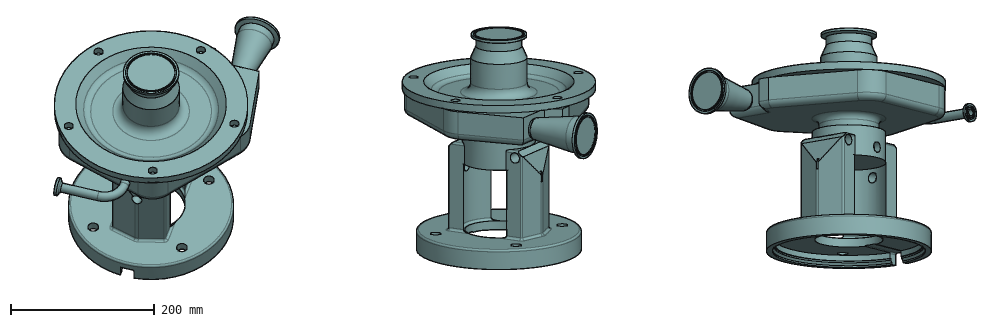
import cadquery as cq
import math


PICK_MARGIN = 0.5

BASE_TOP = 28.5
HUB_BOTTOM = 126.5
HUB_TOP = 169.5
CASING_BOTTOM = 189.0
CASING_TOP = 230.8
COVER_TOP = 241.5
INLET_TOP = 310.0

BASE_RADIUS = 115.2
BASE_EDGE_FILLET = 3.0
BASE_BORE_RADIUS = 47.5
BASE_BOLT_CIRCLE_RADIUS = 91.5
BASE_BOLT_RADIUS = 7.3
BASE_BOLT_COUNT = 4
RECESS_CEILING = 16.0
RECESS_STEP = 8.0
RECESS_CONE_TOP = 6.0
RECESS_CONE_BOTTOM = 2.2
RECESS_UPPER_RADIUS = 102.5
RECESS_LOWER_RADIUS = 104.2
RECESS_MOUTH_RADIUS = 106.8
NOTCH_WIDTH = 19.7
NOTCH_HEIGHT = 17.2
NOTCH_FILLET = 2.2

LEG_HALF_WIDTH = 38.8
LEG_BORE_RADIUS = 52.0
LEG_SHOULDER_Y = 59.0
LEG_RIDGE_Y = 70.0
LEG_TOP = 155.8
LEG_SIDE_FILLET = 2.5
LEG_RIDGE_FILLET = 8.8
LEG_FOOT_FILLET = 3.5
LEG_TOP_CHAMFER = 7.3
LEG_TOP_SIDE_FILLET = 3.0
SLOPE_BOTTOM = 114.0
SLOPE_TOP_Y = 59.5
LEG_HOLE_RADIUS = 7.3
LEG_HOLE_Z = 113.5
LEG_SLIT_WIDTH = 2.2
CROSS_HOLE_Y = 48.0
CROSS_HOLE_Z = 146.0

HUB_RADIUS = 51.2
NECK_RADIUS = 42.0
NECK_FLARE = 9.5
HUB_HOLE_RADIUS = 7.3
HUB_HOLE_Z = 141.5
HUB_HOLE_DEPTH = 11.0

CASING_APOTHEM = 115.2
CASING_SIDES = 5
CASING_CORNER_FILLET = 35.5
CASING_BOTTOM_FILLET = 9.5
OUTLET_FACE_Y = 110.5
OUTLET_FACE_LEFT_X = 64.7
OUTLET_FACE_RIGHT_X = 124.0
LUG_Y = 132.7
LUG_RIGHT_X = 53.5

COVER_RADIUS = 135.0
COVER_BOLT_CIRCLE_RADIUS = 121.5
COVER_BOLT_RADIUS = 6.2
COVER_BOLT_COUNT = 5
POCKET_RADIUS = 105.0
POCKET_CONE_WIDTH = 11.0
POCKET_FILLET = 14.0
POCKET_DEPTH = POCKET_CONE_WIDTH + POCKET_FILLET * (1 - math.cos(math.pi / 4))

RIM_THICKNESS = 3.5
RIM_TAPER = 2.2
GROOVE_INSET = 4.5
GROOVE_WIDTH = 2.2
GROOVE_DEPTH = 1.5

INLET_RIM_RADIUS = 38.8
INLET_TUBE_RADIUS = 32.0
INLET_BODY_RADIUS = 39.5
INLET_CONE_TOP = 292.5
INLET_CONE_BOTTOM = 276.0

OUTLET_X = 96.0
OUTLET_Z = 209.5
OUTLET_END_Y = 195.0
OUTLET_RIM_RADIUS = 32.0
OUTLET_TUBE_RADIUS = 25.5
OUTLET_CONE_START_Y = 177.5
OUTLET_CONE_END_Y = 114.0
OUTLET_SMALL_RADIUS = 15.5
OUTLET_NECK_RADIUS = 13.5

DRAIN_Z = 211.7
DRAIN_RADIUS = 6.5
DRAIN_BEND_RADIUS = 28.5
DRAIN_STRAIGHT_Y = -158.0
DRAIN_START_Y = -109.7
DRAIN_END_X = -90.0
DRAIN_RIM_RADIUS = 12.8
DRAIN_HUB_RADIUS = 8.8
DRAIN_BORE_RADIUS = 4.8


def cylinder(radius, bottom, top):
    return cq.Workplane("XY", origin=(0, 0, bottom)).circle(radius).extrude(top - bottom)


def revolved(profile):
    """Solid of revolution about Z from (radius, height) points."""
    return cq.Workplane("XZ").polyline(profile).close().revolve(360, (0, 0, 0), (0, 1, 0))


def ferrule_pipe(rim_radius, neck_radius, body):
    """Pipe along Z with a clamp rim at height 0 and (radius, height) body points below it."""
    taper_end = -RIM_THICKNESS - RIM_TAPER
    length_end = body[-1][1]
    rim = [(0, 0), (rim_radius, 0), (rim_radius, -RIM_THICKNESS), (neck_radius, taper_end)]
    pipe = revolved(rim + body + [(0, length_end)])
    groove_radius = rim_radius - GROOVE_INSET
    groove = (
        cq.Workplane("XY")
        .circle(groove_radius + GROOVE_WIDTH / 2)
        .circle(groove_radius - GROOVE_WIDTH / 2)
        .extrude(-GROOVE_DEPTH)
    )
    return pipe.cut(groove)


def base_ring():
    ring = cylinder(BASE_RADIUS, 0, BASE_TOP).faces(">Z").edges().fillet(BASE_EDGE_FILLET)
    recess = revolved([
        (0, 0),
        (RECESS_MOUTH_RADIUS, 0),
        (RECESS_MOUTH_RADIUS, RECESS_CONE_BOTTOM),
        (RECESS_LOWER_RADIUS, RECESS_CONE_TOP),
        (RECESS_LOWER_RADIUS, RECESS_STEP),
        (RECESS_UPPER_RADIUS, RECESS_STEP),
        (RECESS_UPPER_RADIUS, RECESS_CEILING),
        (0, RECESS_CEILING),
    ])
    bolts = (
        cq.Workplane("XY")
        .polarArray(BASE_BOLT_CIRCLE_RADIUS, 45, 360, BASE_BOLT_COUNT)
        .circle(BASE_BOLT_RADIUS)
        .extrude(BASE_TOP)
    )
    notch = (
        cq.Workplane("XY", origin=(0, -BASE_RADIUS / 2, 0))
        .rect(NOTCH_WIDTH, BASE_RADIUS)
        .extrude(NOTCH_HEIGHT)
        .edges("|Y and >Z")
        .fillet(NOTCH_FILLET)
    )
    return ring.cut(recess).cut(bolts).cut(notch)


def leg():
    """The leg on the +Y side: a ridged prism with a sloped top, bored out below the hub."""
    outline = [
        (-LEG_HALF_WIDTH, 0),
        (LEG_HALF_WIDTH, 0),
        (LEG_HALF_WIDTH, LEG_SHOULDER_Y),
        (0, LEG_RIDGE_Y),
        (-LEG_HALF_WIDTH, LEG_SHOULDER_Y),
    ]
    slope_top = LEG_TOP - LEG_TOP_CHAMFER
    prism = (
        cq.Workplane("XY", origin=(0, 0, BASE_TOP))
        .polyline(outline)
        .close()
        .extrude(LEG_TOP - BASE_TOP)
    )
    prism = prism.edges("|Z and >Y").fillet(LEG_RIDGE_FILLET)
    shoulders = cq.selectors.BoxSelector(
        (-LEG_HALF_WIDTH - PICK_MARGIN, LEG_SHOULDER_Y - PICK_MARGIN, BASE_TOP),
        (LEG_HALF_WIDTH + PICK_MARGIN, LEG_SHOULDER_Y + PICK_MARGIN, LEG_TOP),
    )
    prism = prism.edges("|Z").edges(shoulders).fillet(LEG_SIDE_FILLET)
    prism = prism.faces(">Z").edges("|Y").fillet(LEG_TOP_SIDE_FILLET)
    top_profile = (
        cq.Workplane("YZ", origin=(-LEG_HALF_WIDTH, 0, 0))
        .moveTo(0, BASE_TOP)
        .lineTo(LEG_RIDGE_Y, BASE_TOP)
        .lineTo(LEG_RIDGE_Y, SLOPE_BOTTOM)
        .lineTo(SLOPE_TOP_Y, slope_top)
        .lineTo(SLOPE_TOP_Y - LEG_TOP_CHAMFER, LEG_TOP)
        .lineTo(0, LEG_TOP)
        .close()
        .extrude(2 * LEG_HALF_WIDTH)
    )
    bore = cylinder(LEG_BORE_RADIUS, BASE_TOP, HUB_BOTTOM)
    return prism.intersect(top_profile).cut(bore)


def frame():
    """Base ring and legs with rounded leg feet, plus the hub and the holes across both."""
    rear_leg = leg()
    front_leg = rear_leg.mirror("XZ")
    body = base_ring().union(rear_leg).union(front_leg)
    body = body.cut(cylinder(BASE_BORE_RADIUS, 0, BASE_TOP))
    foot_zone = cq.selectors.BoxSelector(
        (-LEG_HALF_WIDTH - PICK_MARGIN, -LEG_RIDGE_Y - PICK_MARGIN, BASE_TOP - PICK_MARGIN),
        (LEG_HALF_WIDTH + PICK_MARGIN, LEG_RIDGE_Y + PICK_MARGIN, BASE_TOP + PICK_MARGIN),
    )

    def is_leg_edge(edge):
        return edge.geomType() != "CIRCLE" or abs(edge.radius() - BASE_BORE_RADIUS) > PICK_MARGIN

    body = body.edges(foot_zone).filter(is_leg_edge).fillet(LEG_FOOT_FILLET)
    body = body.union(cylinder(HUB_RADIUS, HUB_BOTTOM, HUB_TOP))

    front_hole = cq.Workplane("XZ", origin=(0, 0, LEG_HOLE_Z)).circle(LEG_HOLE_RADIUS).extrude(LEG_RIDGE_Y)
    rear_slit = cq.Workplane("XY", origin=(0, LEG_RIDGE_Y / 2, LEG_HOLE_Z)).box(
        LEG_SLIT_WIDTH, LEG_RIDGE_Y, 2 * LEG_HOLE_RADIUS
    )
    cross_hole = (
        cq.Workplane("YZ", origin=(0, CROSS_HOLE_Y, CROSS_HOLE_Z))
        .circle(LEG_HOLE_RADIUS)
        .extrude(LEG_HALF_WIDTH, both=True)
    )
    hub_hole = (
        cq.Workplane("YZ", origin=(-HUB_RADIUS, 0, HUB_HOLE_Z))
        .circle(HUB_HOLE_RADIUS)
        .extrude(HUB_HOLE_DEPTH)
    )
    return body.cut(front_hole).cut(rear_slit).cut(cross_hole).cut(hub_hole)


def neck():
    """Round neck between hub and casing, flaring into the casing floor."""
    return (
        cq.Workplane("XZ")
        .moveTo(0, HUB_TOP)
        .lineTo(NECK_RADIUS, HUB_TOP)
        .lineTo(NECK_RADIUS, CASING_BOTTOM - NECK_FLARE)
        .radiusArc((NECK_RADIUS + NECK_FLARE, CASING_BOTTOM), NECK_FLARE)
        .lineTo(0, CASING_BOTTOM)
        .close()
        .revolve(360, (0, 0, 0), (0, 1, 0))
    )


def casing():
    corner_radius = CASING_APOTHEM / math.cos(math.pi / CASING_SIDES)
    step = 2 * math.pi / CASING_SIDES

    def corner(index):
        return (corner_radius * math.cos(index * step), corner_radius * math.sin(index * step))

    (x1, y1), (x2, y2) = corner(1), corner(2)
    lug_left_x = x2 + (LUG_Y - y2) * (x1 - x2) / (y1 - y2)
    outline = [
        corner(0),
        (OUTLET_FACE_RIGHT_X, OUTLET_FACE_Y),
        (OUTLET_FACE_LEFT_X, OUTLET_FACE_Y),
        (LUG_RIGHT_X, LUG_Y),
        (lug_left_x, LUG_Y),
        corner(2),
        corner(3),
        corner(4),
    ]
    body = (
        cq.Workplane("XY", origin=(0, 0, CASING_BOTTOM))
        .polyline(outline)
        .close()
        .extrude(CASING_TOP - CASING_BOTTOM)
    )
    middle_z = (CASING_BOTTOM + CASING_TOP) / 2
    for index in (0, 2, 3, 4):
        corner_edge = cq.selectors.NearestToPointSelector((*corner(index), middle_z))
        body = body.edges(corner_edge).fillet(CASING_CORNER_FILLET)
    return body.faces("<Z").edges().fillet(CASING_BOTTOM_FILLET)


def cover():
    """Flat cover plate with its ring of bolt holes."""
    plate = cylinder(COVER_RADIUS, CASING_TOP, COVER_TOP)
    bolts = (
        cq.Workplane("XY", origin=(0, 0, CASING_TOP))
        .polarArray(COVER_BOLT_CIRCLE_RADIUS, 0, 360, COVER_BOLT_COUNT)
        .circle(COVER_BOLT_RADIUS)
        .extrude(COVER_TOP - CASING_TOP)
    )
    return plate.cut(bolts)


def pocket():
    """Ring-shaped pocket: 45 degree outer wall, rounded floor edges."""
    floor = COVER_TOP - POCKET_DEPTH
    cone_foot = POCKET_RADIUS - POCKET_CONE_WIDTH
    floor_outer = cone_foot - POCKET_FILLET * math.sin(math.pi / 4)
    floor_inner = INLET_BODY_RADIUS + POCKET_FILLET
    return (
        cq.Workplane("XZ")
        .moveTo(INLET_BODY_RADIUS, COVER_TOP)
        .lineTo(POCKET_RADIUS, COVER_TOP)
        .lineTo(cone_foot, COVER_TOP - POCKET_CONE_WIDTH)
        .radiusArc((floor_outer, floor), POCKET_FILLET)
        .lineTo(floor_inner, floor)
        .radiusArc((INLET_BODY_RADIUS, floor + POCKET_FILLET), POCKET_FILLET)
        .close()
        .revolve(360, (0, 0, 0), (0, 1, 0))
    )


def inlet():
    body = [
        (INLET_TUBE_RADIUS, INLET_CONE_TOP - INLET_TOP),
        (INLET_BODY_RADIUS, INLET_CONE_BOTTOM - INLET_TOP),
        (INLET_BODY_RADIUS, CASING_TOP - INLET_TOP),
    ]
    return ferrule_pipe(INLET_RIM_RADIUS, INLET_TUBE_RADIUS, body).translate((0, 0, INLET_TOP))


def outlet():
    body = [
        (OUTLET_TUBE_RADIUS, OUTLET_CONE_START_Y - OUTLET_END_Y),
        (OUTLET_SMALL_RADIUS, OUTLET_CONE_END_Y - OUTLET_END_Y),
        (OUTLET_NECK_RADIUS, OUTLET_CONE_END_Y - OUTLET_END_Y),
        (OUTLET_NECK_RADIUS, OUTLET_FACE_Y - OUTLET_END_Y),
    ]
    pipe = ferrule_pipe(OUTLET_RIM_RADIUS, OUTLET_TUBE_RADIUS, body)
    return pipe.rotate((0, 0, 0), (1, 0, 0), -90).translate((OUTLET_X, OUTLET_END_Y, OUTLET_Z))


def drain():
    bend_start_y = DRAIN_STRAIGHT_Y + DRAIN_BEND_RADIUS

    def along_path(radius):
        path = (
            cq.Workplane("XY", origin=(0, 0, DRAIN_Z))
            .moveTo(0, DRAIN_START_Y)
            .lineTo(0, bend_start_y)
            .radiusArc((-DRAIN_BEND_RADIUS, DRAIN_STRAIGHT_Y), DRAIN_BEND_RADIUS)
            .lineTo(DRAIN_END_X, DRAIN_STRAIGHT_Y)
        )
        return cq.Workplane("XZ", origin=(0, DRAIN_START_Y, DRAIN_Z)).circle(radius).sweep(path)

    hub_end = -RIM_THICKNESS - 2 * RIM_TAPER
    rim = ferrule_pipe(DRAIN_RIM_RADIUS, DRAIN_HUB_RADIUS, [(DRAIN_RADIUS, hub_end)])
    rim = rim.rotate((0, 0, 0), (0, 1, 0), -90).translate((DRAIN_END_X, DRAIN_STRAIGHT_Y, DRAIN_Z))
    return along_path(DRAIN_RADIUS).union(rim).cut(along_path(DRAIN_BORE_RADIUS))


result = (
    frame()
    .union(neck())
    .union(casing())
    .union(cover())
    .union(inlet())
    .cut(pocket())
    .union(outlet())
    .union(drain())
)